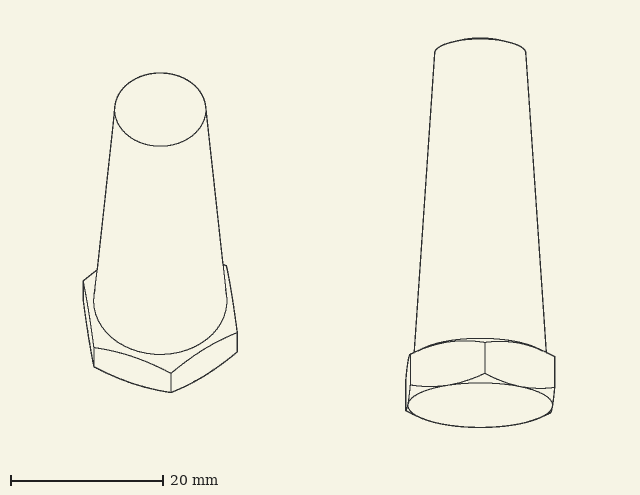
import cadquery as cq
import math

total_height = 50.0
across_flats = 19.0
head_height = 6.4
shank_base_radius = 8.75
shank_top_radius = 6.0
dome_height = 1.4
chamfer_angle = 30.0
top_face_radius = shank_base_radius
bottom_face_radius = across_flats / 2

corner_radius = across_flats / math.sqrt(3)
dome_base_z = total_height - dome_height
chamfer_slope = math.tan(math.radians(chamfer_angle))


def hex_head():
    """Hexagonal head with its corners on Y, chamfered on both end faces."""
    prism = (
        cq.Workplane("XY")
        .polygon(6, 2 * corner_radius)
        .extrude(head_height)
        .rotate((0, 0, 0), (0, 0, 1), 30)
    )
    top_drop = (corner_radius - top_face_radius) * chamfer_slope
    bottom_rise = (corner_radius - bottom_face_radius) * chamfer_slope
    envelope = (
        cq.Workplane("XZ")
        .polyline([
            (0, 0),
            (bottom_face_radius, 0),
            (corner_radius, bottom_rise),
            (corner_radius, head_height - top_drop),
            (top_face_radius, head_height),
            (0, head_height),
        ])
        .close()
        .revolve(360, (0, 0, 0), (0, 1, 0))
    )
    return prism.intersect(envelope)


def domed_shank():
    """Tapered round shank closed by a shallow spherical cap."""
    sphere_radius = (shank_top_radius**2 + dome_height**2) / (2 * dome_height)
    half_angle = math.asin(shank_top_radius / sphere_radius) / 2
    arc_middle = (
        sphere_radius * math.sin(half_angle),
        total_height - sphere_radius * (1 - math.cos(half_angle)),
    )
    return (
        cq.Workplane("XZ")
        .moveTo(0, head_height)
        .lineTo(shank_base_radius, head_height)
        .lineTo(shank_top_radius, dome_base_z)
        .threePointArc(arc_middle, (0, total_height))
        .close()
        .revolve(360, (0, 0, 0), (0, 1, 0))
    )


result = hex_head().union(domed_shank())